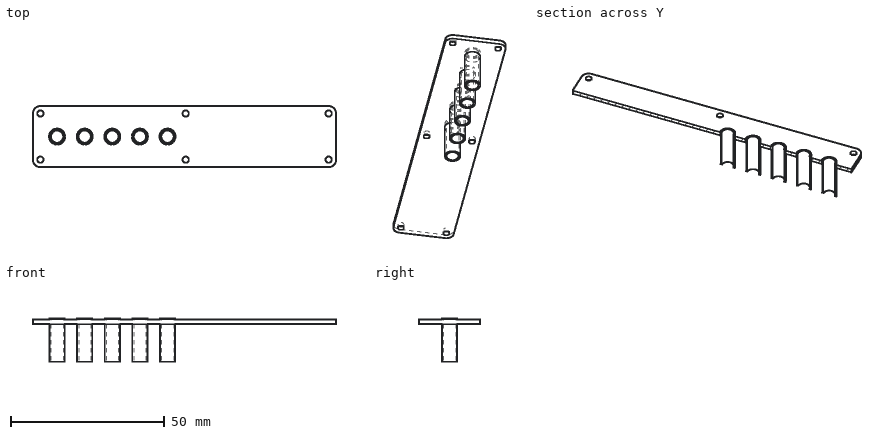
import cadquery as cq

plate_length = 99.0
plate_width = 20.0
plate_thickness = 1.6
corner_radius = 2.5

screw_hole_diameter = 2.0
screw_edge_distance = 2.5
middle_screw_x = 49.9

tube_count = 5
first_tube_x = 7.9
tube_pitch = 9.0
tube_outer_diameter = 5.0
tube_bore_diameter = 4.0
tube_length = 14.2
tube_protrusion = 0.3
tube_hole_diameter = 5.1

tube_positions = [(first_tube_x + i * tube_pitch, 0) for i in range(tube_count)]
tube_bottom_z = plate_thickness + tube_protrusion - tube_length


def screw_positions():
    """Centres of the screw holes, in pairs either side of the centreline."""
    row_y = plate_width / 2 - screw_edge_distance
    columns = (screw_edge_distance, middle_screw_x, plate_length - screw_edge_distance)
    return [(x, y) for x in columns for y in (-row_y, row_y)]


def through_holes(positions, diameter):
    """Cylinders that cut holes through the plate."""
    return cq.Workplane("XY").pushPoints(positions).circle(diameter / 2).extrude(plate_thickness)


def make_plate():
    """Rounded plate with screw holes and a clearance hole for each tube."""
    blank = (
        cq.Workplane("XY")
        .box(plate_length, plate_width, plate_thickness, centered=(False, True, False))
        .edges("|Z")
        .fillet(corner_radius)
    )
    drilled = blank.cut(through_holes(screw_positions(), screw_hole_diameter))
    return drilled.cut(through_holes(tube_positions, tube_hole_diameter)).solids()


def make_tube(x, y):
    """Open-ended tube standing through the plate."""
    return (
        cq.Workplane("XY", origin=(x, y, tube_bottom_z))
        .circle(tube_outer_diameter / 2)
        .circle(tube_bore_diameter / 2)
        .extrude(tube_length)
    )


plate = make_plate()
tubes = [make_tube(x, y) for x, y in tube_positions]

result = cq.Compound.makeCompound([plate.val(), *[tube.val() for tube in tubes]])